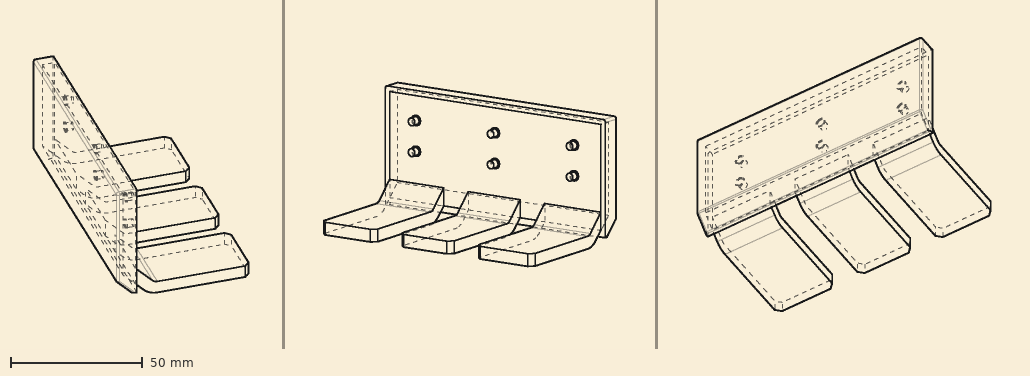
import cadquery as cq
import math


COVER_LENGTH = 101.6
COVER_DEPTH = 8.0
COVER_BOTTOM = 2.9
COVER_TOP = 49.0
COVER_BEVEL = 6.0
COVER_FILLET = 1.0
SIDE_WALL = 2.0

PLATE_THICKNESS = 5.0
BEND_ANGLE = math.radians(45)
BEND_INNER_RADIUS = 2.7
TONGUE_REACH = 54.1
BEND_START = 16.9
TONGUE_TIP_CHAMFER = 2.0
TONGUE_1_WIDTH = 26.0
TONGUE_2_START = 39.3
TONGUE_2_WIDTH = 24.0
TONGUE_3_WIDTH = 25.0

PIN_DIAMETER = 3.0
PIN_LENGTH = 3.0
PIN_COLLAR_DIAMETER = 4.0
PIN_COLLAR_HEIGHT = 0.3
PIN_SPACING_X = 36.5
PIN_SPACING_Z = 12.0
PIN_TOP_OFFSET = 11.7

FRONT_WALL = COVER_DEPTH - PLATE_THICKNESS
PLATE_TOP = COVER_TOP - SIDE_WALL
PLATE_LENGTH = COVER_LENGTH - 2 * SIDE_WALL

BEND_OUTER_RADIUS = BEND_INNER_RADIUS + PLATE_THICKNESS
BEND_CENTRE_Z = PLATE_THICKNESS + BEND_INNER_RADIUS

TONGUES = [
    (SIDE_WALL, TONGUE_1_WIDTH),
    (TONGUE_2_START, TONGUE_2_WIDTH),
    (COVER_LENGTH - SIDE_WALL - TONGUE_3_WIDTH, TONGUE_3_WIDTH),
]


def bend_point(radius, angle):
    """(Y, Z) on a bend arc, turned by angle from the end of the flat."""
    return (
        BEND_START - radius * math.sin(angle),
        BEND_CENTRE_Z - radius * math.cos(angle),
    )


def slope_z(start, y):
    """Z at y on the sloping line that rises toward the front from start."""
    return start[1] + (start[0] - y) * math.tan(BEND_ANGLE)


OUTER_BEND_END = bend_point(BEND_OUTER_RADIUS, BEND_ANGLE)
INNER_BEND_END = bend_point(BEND_INNER_RADIUS, BEND_ANGLE)
SLOPE_BOTTOM_Z = slope_z(OUTER_BEND_END, COVER_DEPTH)
SLOPE_FRONT_Z = slope_z(OUTER_BEND_END, FRONT_WALL)
SLOPE_TOP_Z = slope_z(INNER_BEND_END, COVER_DEPTH)


def yz_plane(x):
    """Sketch plane across the part at x, with local axes Y and Z."""
    return cq.Workplane("YZ", origin=(x, 0, 0))


def make_plate():
    """Plate that fills the tray, with its foot sloping like the tongues."""
    return (
        yz_plane(SIDE_WALL)
        .moveTo(FRONT_WALL, PLATE_TOP)
        .lineTo(FRONT_WALL, SLOPE_FRONT_Z)
        .lineTo(COVER_DEPTH, SLOPE_BOTTOM_Z)
        .lineTo(COVER_DEPTH, PLATE_TOP)
        .close()
        .extrude(PLATE_LENGTH)
    )


def make_tongue(x_start, width):
    """Tongue that slopes down out of the plate and bends level."""
    half_bend = BEND_ANGLE / 2
    return (
        yz_plane(x_start)
        .moveTo(COVER_DEPTH, SLOPE_BOTTOM_Z)
        .lineTo(*OUTER_BEND_END)
        .threePointArc(bend_point(BEND_OUTER_RADIUS, half_bend), (BEND_START, 0))
        .lineTo(TONGUE_REACH, 0)
        .lineTo(TONGUE_REACH, PLATE_THICKNESS)
        .lineTo(BEND_START, PLATE_THICKNESS)
        .threePointArc(bend_point(BEND_INNER_RADIUS, half_bend), INNER_BEND_END)
        .lineTo(COVER_DEPTH, SLOPE_TOP_Z)
        .close()
        .extrude(width)
        .faces(">Y")
        .edges("|Z")
        .chamfer(TONGUE_TIP_CHAMFER)
    )


def make_pin(x, z):
    """Pin with a low collar, standing on the back of the plate."""
    base = cq.Workplane("XZ", origin=(x, COVER_DEPTH, z))
    collar = base.circle(PIN_COLLAR_DIAMETER / 2).extrude(-PIN_COLLAR_HEIGHT)
    shank = base.circle(PIN_DIAMETER / 2).extrude(-PIN_LENGTH)
    return collar.union(shank)


def make_bracket():
    """Plate, tongues and pins as one solid."""
    bracket = make_plate()
    for x_start, width in TONGUES:
        bracket = bracket.union(make_tongue(x_start, width))
    for column in (-1, 0, 1):
        for row in (0, 1):
            pin_x = COVER_LENGTH / 2 + column * PIN_SPACING_X
            pin_z = COVER_TOP - PIN_TOP_OFFSET - row * PIN_SPACING_Z
            bracket = bracket.union(make_pin(pin_x, pin_z))
    return bracket


def make_cover():
    """Tray with rounded outer edges and a recess that matches the plate."""
    block = (
        yz_plane(0)
        .moveTo(COVER_DEPTH, COVER_BOTTOM)
        .lineTo(COVER_BEVEL, COVER_BOTTOM)
        .lineTo(0, COVER_BOTTOM + COVER_BEVEL)
        .lineTo(0, COVER_TOP)
        .lineTo(COVER_DEPTH, COVER_TOP)
        .close()
        .extrude(COVER_LENGTH)
    )
    outer_edges = block.edges("not (>Y or (<Z and #X))")
    return outer_edges.fillet(COVER_FILLET).cut(make_plate())


cover = make_cover()
bracket = make_bracket()

result = cq.Compound.makeCompound([cover.val(), bracket.val()])